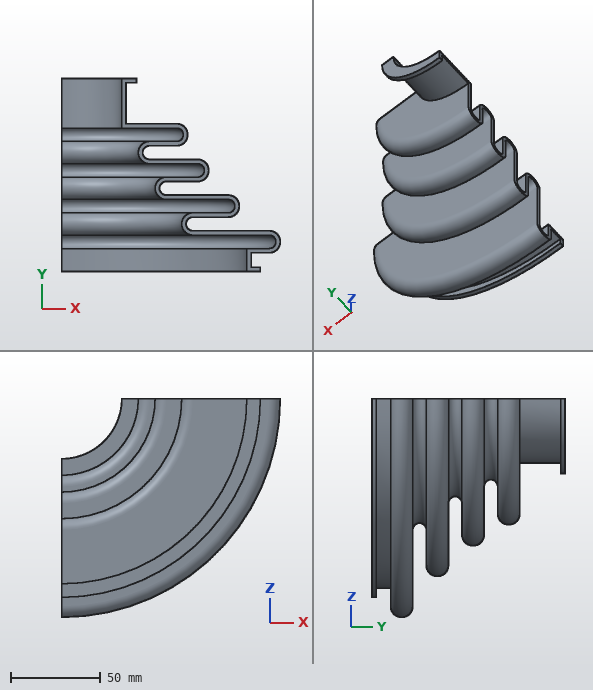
import cadquery as cq


overall_height = 108.21
wall = 2.5
fold_pitch = 20.0
sweep_angle = 90.0

small_collar_bore_radius = 33.7
small_collar_height = 25.3
small_flange_radius = 42.0

large_collar_bore_radius = 103.8
large_flange_radius = 111.4

crest_radii = [70.7, 82.5, 99.6, 122.61]
valley_radii = [43.0, 52.4, 67.3]

bend_mid_radius = fold_pitch / 4
bend_outer_radius = bend_mid_radius + wall / 2
bend_inner_radius = bend_mid_radius - wall / 2
first_fold_height = overall_height - small_collar_height - bend_outer_radius
fold_heights = [first_fold_height - index * fold_pitch for index in range(len(crest_radii))]
crest_centers = [radius - bend_outer_radius for radius in crest_radii]
valley_centers = [radius + bend_outer_radius for radius in valley_radii]


def add_bend(profile, center_radius, height, bend_radius, direction, travel):
    """Run straight to a bend, then round it by a half turn.

    direction is +1 for a crest and -1 for a valley; travel is -1 going
    down the profile and +1 going up it.
    """
    start_height = height - travel * bend_radius
    end_height = height + travel * bend_radius
    bend_tip = (center_radius + direction * bend_radius, height)
    profile = profile.lineTo(center_radius, start_height)
    return profile.threePointArc(bend_tip, (center_radius, end_height))


def add_outer_folds(profile):
    """Outside face of the folds, from the small end down to the large end."""
    for index, crest_center in enumerate(crest_centers):
        height = fold_heights[index]
        profile = add_bend(profile, crest_center, height, bend_outer_radius, 1, -1)
        if index < len(valley_centers):
            valley_height = height - fold_pitch / 2
            profile = add_bend(profile, valley_centers[index], valley_height, bend_inner_radius, -1, -1)
    return profile


def add_inner_folds(profile):
    """Inside face of the folds, from the large end back up to the small end."""
    for index in reversed(range(len(crest_centers))):
        height = fold_heights[index]
        if index < len(valley_centers):
            valley_height = height - fold_pitch / 2
            profile = add_bend(profile, valley_centers[index], valley_height, bend_outer_radius, -1, 1)
        profile = add_bend(profile, crest_centers[index], height, bend_inner_radius, 1, 1)
    return profile


def make_profile():
    """Closed wall section: small collar, folds, large collar and back inside."""
    small_outer = small_collar_bore_radius + wall
    large_outer = large_collar_bore_radius + wall
    first_fold_top = fold_heights[0] + bend_outer_radius
    last_fold_bottom = fold_heights[-1] - bend_outer_radius

    profile = (
        cq.Workplane("XY")
        .moveTo(small_collar_bore_radius, overall_height)
        .lineTo(small_flange_radius, overall_height)
        .lineTo(small_flange_radius, overall_height - wall)
        .lineTo(small_outer, overall_height - wall)
        .lineTo(small_outer, first_fold_top)
    )
    profile = add_outer_folds(profile)
    profile = (
        profile
        .lineTo(large_outer, last_fold_bottom)
        .lineTo(large_outer, wall)
        .lineTo(large_flange_radius, wall)
        .lineTo(large_flange_radius, 0)
        .lineTo(large_collar_bore_radius, 0)
        .lineTo(large_collar_bore_radius, last_fold_bottom + wall)
    )
    profile = add_inner_folds(profile)
    return profile.lineTo(small_collar_bore_radius, first_fold_top - wall).close()


result = make_profile().revolve(sweep_angle, (0, 0, 0), (0, 1, 0))